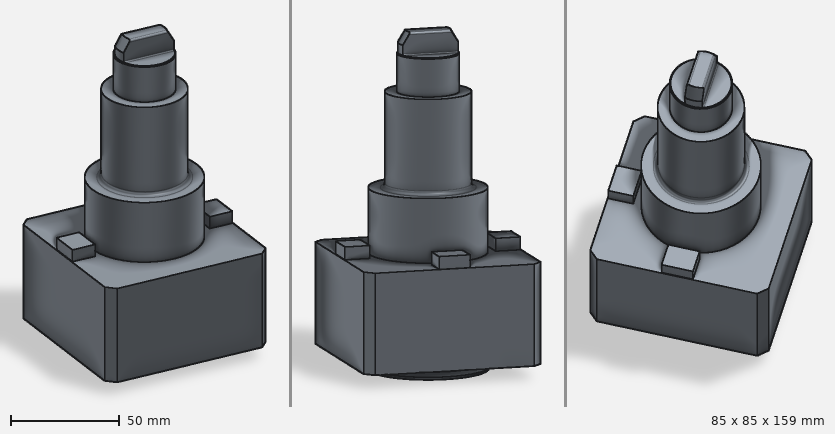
import cadquery as cq

total_height = 159.0
block_side = 85.0
block_corner_chamfer = 4.3

flange_top = 4.0
block_bottom = 6.8
block_top = 54.7
collar_top = 85.0
shaft_top = 130.0
tip_top = 148.3

flange_diameter = 59.0
neck_diameter = 49.3
collar_diameter = 55.2
shaft_diameter = 40.0
tip_diameter = 29.0

flange_chamfer = 1.6
shaft_root_fillet = 2.0
tip_chamfer = 0.5

tab_length = 12.0
tab_width = 15.0
tab_height = 6.0
tab_edge_gap = 0.3
tab_directions = (90, 180, 270)

blade_width = 8.3
blade_diameter = 28.0
blade_top_diameter = 21.0
blade_taper_height = 5.9
blade_fillet = 1.0
blade_root_fillet = 0.6


def cylinder(diameter, bottom, top):
    """Round step on the Z axis between two heights."""
    return cq.Workplane("XY").workplane(offset=bottom).circle(diameter / 2).extrude(top - bottom)


def make_block():
    block = cq.Workplane("XY").workplane(offset=block_bottom).rect(block_side, block_side)
    return block.extrude(block_top - block_bottom).edges("|Z").chamfer(block_corner_chamfer)


def make_tab(direction):
    """Tab beside the block edge that faces the given direction in degrees."""
    center_distance = block_side / 2 - tab_edge_gap - tab_length / 2
    tab = cq.Workplane("XY").workplane(offset=block_top).center(center_distance, 0)
    tab = tab.rect(tab_length, tab_width).extrude(tab_height)
    return tab.rotate((0, 0, 0), (0, 0, 1), direction)


def make_blade():
    """Rounded tongue along Y, trimmed to a cylinder with a conical top."""
    blade_height = total_height - tip_top
    tongue = cq.Workplane("XY").workplane(offset=tip_top).rect(blade_width, blade_diameter)
    tongue = tongue.extrude(blade_height).edges("|Y and >Z").fillet(blade_fillet)
    envelope = (
        cq.Workplane("XZ")
        .moveTo(0, tip_top)
        .lineTo(blade_diameter / 2, tip_top)
        .lineTo(blade_diameter / 2, total_height - blade_taper_height)
        .lineTo(blade_top_diameter / 2, total_height)
        .lineTo(0, total_height)
        .close()
        .revolve(360, (0, 0), (0, 1))
    )
    return tongue.intersect(envelope)


def make_blade_root():
    """Concave fillets where the long sides of the blade meet the tip."""
    half_width = blade_width / 2
    outer = half_width + blade_root_fillet
    root_top = tip_top + blade_root_fillet
    arc_inset = blade_root_fillet * (1 - 0.5**0.5)
    root = (
        cq.Workplane("XZ")
        .moveTo(-outer, tip_top)
        .lineTo(outer, tip_top)
        .threePointArc((half_width + arc_inset, tip_top + arc_inset), (half_width, root_top))
        .lineTo(-half_width, root_top)
        .threePointArc((-half_width - arc_inset, tip_top + arc_inset), (-outer, tip_top))
        .close()
        .extrude(blade_diameter / 2, both=True)
    )
    return root.intersect(cylinder(blade_diameter, tip_top, root_top))


flange = cylinder(flange_diameter, 0, flange_top).faces("<Z").chamfer(flange_chamfer)
neck = cylinder(neck_diameter, flange_top, block_bottom)
collar = cylinder(collar_diameter, block_top, collar_top)
shaft = cylinder(shaft_diameter, collar_top, shaft_top)
tip = cylinder(tip_diameter, shaft_top, tip_top).faces(">Z").chamfer(tip_chamfer)

pick_margin = 0.2
shaft_root = cq.selectors.BoxSelector(
    (-shaft_diameter, -shaft_diameter, collar_top - pick_margin),
    (shaft_diameter, shaft_diameter, collar_top + pick_margin),
    boundingbox=False,
)
column = collar.union(shaft)
column = column.edges(shaft_root).edges(cq.selectors.RadiusNthSelector(0)).fillet(shaft_root_fillet)

result = flange.union(neck).union(make_block()).union(column).union(tip)
for tab_direction in tab_directions:
    result = result.union(make_tab(tab_direction))
result = result.union(make_blade()).union(make_blade_root())